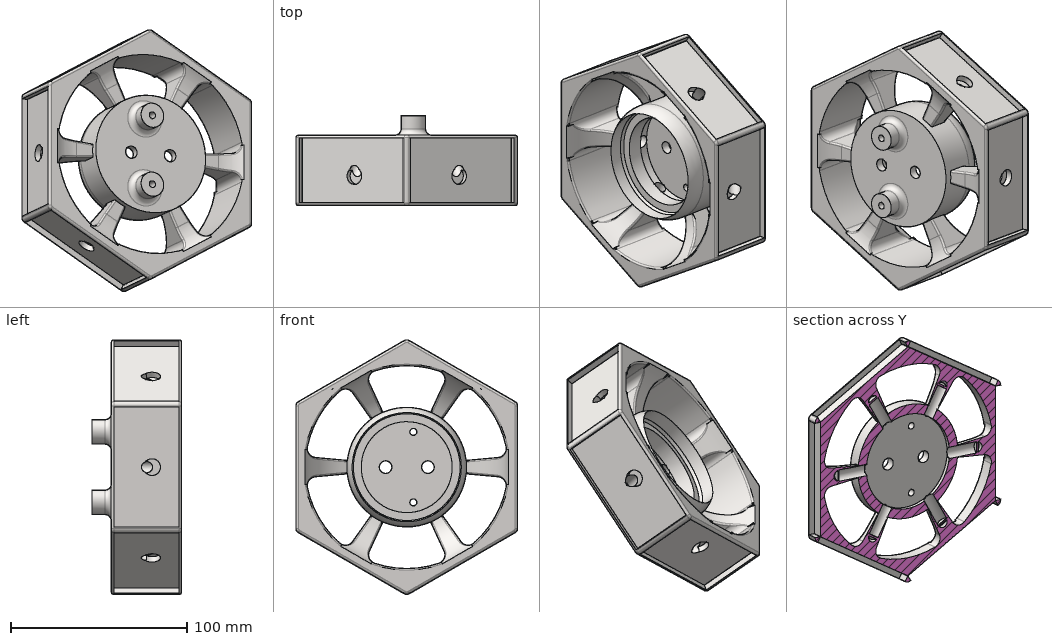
import cadquery as cq
import math


SIDES = 6
STEP_ANGLE = 360 / SIDES
ACROSS_FLATS = 125.98
FRAME_DEPTH = 40.0
CORNER_RADIUS = 2.8
RIM_EDGE_RADIUS = 1.5

RIM_WIDTH = 1.6
CORNER_RIM_WIDTH = 2.3
PANEL_DEPTH = 3.5

WINDOW_DIAMETER = 115.0
WINDOW_CORNER_RADIUS = 5.0
RING_EDGE_RADIUS = 1.0
SPOKE_EDGE_RADIUS = 1.0
SPOKE_HALF_WIDTH_AT_HUB = 3.9
SPOKE_HALF_ANGLE = 5.2
SPOKE_FRONT_END = 57.65
SPOKE_FRONT_MID = (51.5, 12.5)
SPOKE_FRONT_HUB_Y = 23.5
SPOKE_BACK_Y = 35.5
SPOKE_BACK_FLAT_END = 44.0

HUB_DIAMETER = 68.0
HUB_FRONT_Y = 9.0
HUB_ROUND_END_Y = 18.3
MOUTH_DIAMETER = 62.0
SEAT_DIAMETER = 60.6
SEAT_CHAMFER_Y = 16.5
SEAT_Y = 18.5
CUP_DIAMETER = 51.65
CUP_FLOOR_Y = 34.5
UNDERCUT_DIAMETER = 56.0
UNDERCUT_Y = 27.5
WEB_FRONT_Y = UNDERCUT_Y
WEB_BACK_Y = 31.0

FLOOR_HOLE_DIAMETER = 7.0
FLOOR_HOLE_OFFSET = 12.0
BOSS_DIAMETER = 14.0
BOSS_BORE = 3.82
BOSS_LENGTH = 11.0
BOSS_FLARE_RADIUS = 3.5
BOSS_X = 3.75
BOSS_Z = 20.0

PORT_DIAMETER = 9.5
PORT_Y = 16.8
PORT_DEPTH = 3.5
PASSAGE_DIAMETER = 7.04
PASSAGE_Y = 31.0
PASSAGE_END_PAST_WALL = 0.5
PASSAGE_TILT = 45.0
PASSAGE_ENTRY_Y = 17.9

PARALLEL_TO_Y = 0.999

APOTHEM = ACROSS_FLATS / 2
PANEL_RADIUS = APOTHEM - PANEL_DEPTH
WINDOW_RADIUS = WINDOW_DIAMETER / 2
HUB_RADIUS = HUB_DIAMETER / 2
MOUTH_RADIUS = MOUTH_DIAMETER / 2
SEAT_RADIUS = SEAT_DIAMETER / 2
CUP_RADIUS = CUP_DIAMETER / 2
UNDERCUT_RADIUS = UNDERCUT_DIAMETER / 2
RING_EDGE_RADIUS_OUT = WINDOW_RADIUS + RING_EDGE_RADIUS
POCKET_HALF_WIDTH = math.sqrt(RING_EDGE_RADIUS_OUT**2 - SPOKE_FRONT_END**2)


def plane_at(y):
    """Sketch plane facing the front at depth y; negative extrusions grow towards +Y."""
    return cq.Workplane("XZ", origin=(0, y, 0))


def disc(diameter, y_start, y_end, x=0.0, z=0.0):
    return plane_at(y_start).center(x, z).circle(diameter / 2).extrude(y_start - y_end)


def turned(profile, angle=360):
    """Revolve a (radius, y) profile about the Y axis."""
    return profile.close().revolve(angle, (0, 0), (0, 1))


def around(shape, index):
    return shape.rotate((0, 0, 0), (0, 1, 0), index * STEP_ANGLE)


def pattern(shape):
    """Repeat a shape once per side of the hexagon."""
    copies = cq.Workplane("XY")
    for index in range(SIDES):
        copies = copies.add(around(shape, index))
    return copies.combine()


def make_frame():
    corner_diameter = ACROSS_FLATS / math.cos(math.radians(STEP_ANGLE / 2))
    hexagon = plane_at(0).polygon(SIDES, corner_diameter).extrude(-FRAME_DEPTH)
    hexagon = hexagon.rotate((0, 0, 0), (0, 1, 0), STEP_ANGLE / 2)
    hexagon = hexagon.edges("|Y").fillet(CORNER_RADIUS)
    return hexagon.faces("<Y or >Y").edges().fillet(RIM_EDGE_RADIUS)


def make_panel_recess():
    """Rectangular recess in the side that faces +X."""
    side_length = ACROSS_FLATS * math.tan(math.radians(STEP_ANGLE / 2))
    return cq.Workplane("XY").box(
        PANEL_DEPTH,
        FRAME_DEPTH - 2 * RIM_WIDTH,
        side_length - 2 * CORNER_RIM_WIDTH,
    ).translate((APOTHEM - PANEL_DEPTH / 2, FRAME_DEPTH / 2, 0))


def make_spoke_plan():
    """Tapered bar left standing between two neighbouring windows."""
    slope = math.tan(math.radians(SPOKE_HALF_ANGLE))
    outer_radius = WINDOW_RADIUS + WINDOW_CORNER_RADIUS
    inner_radius = HUB_RADIUS - WINDOW_CORNER_RADIUS
    outer = SPOKE_HALF_WIDTH_AT_HUB + slope * (outer_radius - HUB_RADIUS)
    inner = SPOKE_HALF_WIDTH_AT_HUB + slope * (inner_radius - HUB_RADIUS)
    outline = [(inner_radius, -inner), (outer_radius, -outer), (outer_radius, outer), (inner_radius, inner)]
    return plane_at(0).polyline(outline).close().extrude(-FRAME_DEPTH)


def make_windows():
    annulus = disc(WINDOW_DIAMETER, 0, FRAME_DEPTH).cut(disc(HUB_DIAMETER, 0, FRAME_DEPTH))
    windows = annulus.cut(pattern(make_spoke_plan()))
    middle_radius = (HUB_RADIUS + WINDOW_RADIUS) / 2
    outer_corners = windows.edges("|Y").filter(
        lambda edge: math.hypot(edge.Center().x, edge.Center().z) > middle_radius
    )
    return windows.newObject(outer_corners.vals()).fillet(WINDOW_CORNER_RADIUS)


def make_spoke_front():
    """Space in front of one spoke, bounded by the spoke's concave front."""
    profile = (
        cq.Workplane("XY", origin=(0, 0, -POCKET_HALF_WIDTH))
        .moveTo(0, 0)
        .lineTo(SPOKE_FRONT_END, 0)
        .threePointArc(SPOKE_FRONT_MID, (HUB_RADIUS, SPOKE_FRONT_HUB_Y))
        .lineTo(0, SPOKE_FRONT_HUB_Y)
        .close()
    )
    return profile.extrude(2 * POCKET_HALF_WIDTH)


def make_spoke_back():
    """Space behind one spoke, from the hub out to the rear plane."""
    profile = (
        cq.Workplane("XY", origin=(0, 0, -POCKET_HALF_WIDTH))
        .moveTo(0, SPOKE_BACK_Y)
        .lineTo(SPOKE_BACK_FLAT_END, SPOKE_BACK_Y)
        .tangentArcPoint((SPOKE_FRONT_END, FRAME_DEPTH), relative=False)
        .lineTo(0, FRAME_DEPTH)
        .close()
    )
    return profile.extrude(2 * POCKET_HALF_WIDTH)


def make_ring_edge():
    """Material removed to round the ring's front edge along one window."""
    end_angle = math.degrees(math.asin(POCKET_HALF_WIDTH / RING_EDGE_RADIUS_OUT))
    diagonal = RING_EDGE_RADIUS * (1 - math.sqrt(0.5))
    profile = (
        cq.Workplane("XY")
        .moveTo(WINDOW_RADIUS, 0)
        .lineTo(RING_EDGE_RADIUS_OUT, 0)
        .threePointArc((WINDOW_RADIUS + diagonal, diagonal), (WINDOW_RADIUS, RING_EDGE_RADIUS))
    )
    return turned(profile, STEP_ANGLE - 2 * end_angle).rotate((0, 0, 0), (0, 1, 0), end_angle)


def round_spoke_edges(body):
    """Round the long edges along the front and back of every spoke."""
    outer_limit = WINDOW_RADIUS - WINDOW_CORNER_RADIUS

    def on_spoke(edge):
        centre = edge.Center()
        between_hub_and_corner = HUB_RADIUS < math.hypot(centre.x, centre.z) < outer_limit
        along_y = abs(edge.tangentAt(0.5).y) > PARALLEL_TO_Y
        off_end_planes = SPOKE_EDGE_RADIUS < centre.y < FRAME_DEPTH - SPOKE_EDGE_RADIUS
        across = edge.startPoint().sub(edge.endPoint()).Length > WINDOW_CORNER_RADIUS
        return between_hub_and_corner and off_end_planes and across and not along_y

    return body.newObject(body.edges().filter(on_spoke).vals()).fillet(SPOKE_EDGE_RADIUS)


def make_hub():
    """Hub cup with a rounded nose, a stepped mouth and a thick floor."""
    drop = HUB_RADIUS - MOUTH_RADIUS
    rise = HUB_ROUND_END_Y - HUB_FRONT_Y
    nose_radius = (drop**2 + rise**2) / (2 * drop)
    nose_mid_y = HUB_ROUND_END_Y - rise / 2
    nose_mid_radius = HUB_RADIUS - nose_radius + math.sqrt(nose_radius**2 - (rise / 2) ** 2)
    profile = (
        cq.Workplane("XY")
        .moveTo(MOUTH_RADIUS, HUB_FRONT_Y)
        .threePointArc((nose_mid_radius, nose_mid_y), (HUB_RADIUS, HUB_ROUND_END_Y))
        .lineTo(HUB_RADIUS, FRAME_DEPTH)
        .lineTo(0, FRAME_DEPTH)
        .lineTo(0, CUP_FLOOR_Y)
        .lineTo(UNDERCUT_RADIUS, CUP_FLOOR_Y)
        .lineTo(UNDERCUT_RADIUS, UNDERCUT_Y)
        .lineTo(CUP_RADIUS, UNDERCUT_Y)
        .lineTo(CUP_RADIUS, SEAT_Y)
        .lineTo(SEAT_RADIUS, SEAT_Y)
        .lineTo(MOUTH_RADIUS, SEAT_CHAMFER_Y)
    )
    return turned(profile)


def rod(start, direction, length, diameter):
    return cq.Workplane(cq.Solid.makeCylinder(diameter / 2, length, cq.Vector(*start), cq.Vector(*direction)))


def make_passage_bores():
    """Port in the panel, a tilted leg, and a radial leg into the hub cup."""
    tilt = math.radians(PASSAGE_TILT)
    leg_rise = PASSAGE_Y - PASSAGE_ENTRY_Y
    bend_radius = PANEL_RADIUS - leg_rise / math.tan(tilt)
    leg_length = leg_rise / math.sin(tilt) + PASSAGE_DIAMETER
    bend = (bend_radius, PASSAGE_Y, 0)
    port = rod((PANEL_RADIUS + PANEL_DEPTH, PORT_Y, 0), (-1, 0, 0), PANEL_DEPTH + PORT_DEPTH, PORT_DIAMETER)
    leg = rod(bend, (math.cos(tilt), -math.sin(tilt), 0), leg_length, PASSAGE_DIAMETER)
    radial = rod(bend, (-1, 0, 0), bend_radius - UNDERCUT_RADIUS + PASSAGE_END_PAST_WALL, PASSAGE_DIAMETER)
    return port, leg, radial


def make_boss(z):
    """Rear boss with a concave flare where it leaves the hub."""
    radius = BOSS_DIAMETER / 2
    diagonal = BOSS_FLARE_RADIUS * (1 - math.sqrt(0.5))
    profile = (
        cq.Workplane("XY")
        .moveTo(0, CUP_FLOOR_Y)
        .lineTo(radius + BOSS_FLARE_RADIUS, CUP_FLOOR_Y)
        .lineTo(radius + BOSS_FLARE_RADIUS, FRAME_DEPTH)
        .threePointArc(
            (radius + diagonal, FRAME_DEPTH + diagonal),
            (radius, FRAME_DEPTH + BOSS_FLARE_RADIUS),
        )
        .lineTo(radius, FRAME_DEPTH + BOSS_LENGTH)
        .lineTo(0, FRAME_DEPTH + BOSS_LENGTH)
    )
    return turned(profile).translate((BOSS_X, 0, z))


def make_part():
    body = make_frame()
    body = body.cut(pattern(make_panel_recess()))
    body = body.cut(disc(HUB_DIAMETER, 0, WEB_FRONT_Y))
    body = body.cut(disc(HUB_DIAMETER, WEB_BACK_Y, FRAME_DEPTH))
    for index in range(SIDES):
        body = body.cut(around(make_spoke_front(), index))
        body = body.cut(around(make_spoke_back(), index))
    body = body.cut(make_windows())
    body = round_spoke_edges(body)
    body = body.cut(pattern(make_ring_edge()))
    body = body.cut(disc(UNDERCUT_DIAMETER, WEB_FRONT_Y, WEB_BACK_Y))
    body = body.union(make_hub())
    for index in range(SIDES):
        for bore in make_passage_bores():
            body = body.cut(around(bore, index))
    for side in (-1, 1):
        body = body.union(make_boss(side * BOSS_Z))
        body = body.cut(disc(BOSS_BORE, 0, FRAME_DEPTH + BOSS_LENGTH, BOSS_X, side * BOSS_Z))
        body = body.cut(disc(FLOOR_HOLE_DIAMETER, 0, FRAME_DEPTH, side * FLOOR_HOLE_OFFSET, 0))
    return body


result = make_part()